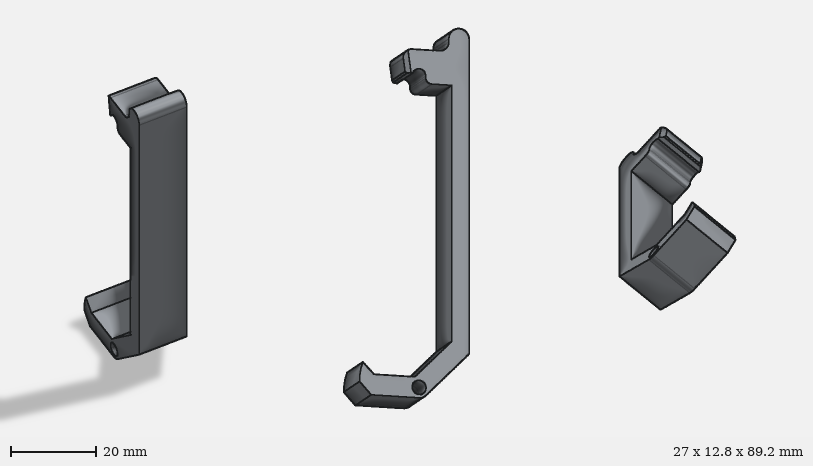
import cadquery as cq
import math

height = 89.25
reach = 26.95
width = 12.8

wall = 4.3
arm = 5.0
root_half = math.sqrt(0.5)

bulb_radius = 2.5
bulb_z = height - bulb_radius
neck_radius = 2.3

shelf_z = 83.6
clip_bottom_z = 75.5
nose_tip_x = -15.1
nose_bottom_z = 77.9
nose_bevel_x = 0.4
nose_bevel_z = 0.45
nose_tilt = math.radians(8)
nose_radius = 1.8
nose_chamfer = 1.1
groove_x = -12.3
groove_z = 77.4
groove_radius = 1.6
lip_radius = 1.4

pin_diameter = 3.4
pin_x = -12.3
pin_z = arm / 2
hook_root_x = -23.4
hook_tip = (-26.15, 7.8)
hook_bulge = (-26.8, 5.35)
hook_heel_z = 3.0
hook_base_x = -24.1

outer_bend_z = pin_z - pin_x - pin_z / root_half
inner_bend_z = outer_bend_z + arm / root_half - wall
inner_corner_x = arm - inner_bend_z - wall

nose_front_x = nose_tip_x - nose_bevel_x
nose_front_z = nose_bottom_z + nose_bevel_z
nose_top_x = nose_front_x - (shelf_z - nose_front_z) * math.tan(nose_tilt)
round_length = nose_radius * math.tan(math.pi / 4 + nose_tilt / 2)
round_start_x = nose_top_x + round_length
round_center_z = shelf_z - nose_radius
round_mid_angle = (math.pi / 2 + math.pi + nose_tilt) / 2
nose_direction = (-math.sin(nose_tilt), 0, math.cos(nose_tilt))


def on_circle(center_x, center_z, radius, angle):
    """Point at an angle (radians) measured from +X towards +Z."""
    return (center_x + radius * math.cos(angle), center_z + radius * math.sin(angle))


def side_profile():
    neck_x = -2 * bulb_radius
    groove_left_angle = math.pi - math.asin((nose_bottom_z - groove_z) / groove_radius)
    groove_right_x = groove_x + groove_radius
    lip_x = groove_right_x + lip_radius
    lip_z = clip_bottom_z + lip_radius
    return (
        cq.Workplane("XZ")
        .moveTo(0, outer_bend_z)
        .lineTo(0, bulb_z)
        .threePointArc((-bulb_radius, height), (neck_x, bulb_z))
        .lineTo(neck_x, shelf_z + neck_radius)
        .threePointArc(
            on_circle(neck_x - neck_radius, shelf_z + neck_radius, neck_radius, -math.pi / 4),
            (neck_x - neck_radius, shelf_z),
        )
        .lineTo(round_start_x, shelf_z)
        .threePointArc(
            on_circle(round_start_x, round_center_z, nose_radius, round_mid_angle),
            on_circle(round_start_x, round_center_z, nose_radius, math.pi + nose_tilt),
        )
        .lineTo(nose_front_x, nose_front_z)
        .lineTo(nose_tip_x, nose_bottom_z)
        .lineTo(*on_circle(groove_x, groove_z, groove_radius, groove_left_angle))
        .threePointArc((groove_x, groove_z + groove_radius), (groove_right_x, groove_z))
        .lineTo(groove_right_x, lip_z)
        .threePointArc(
            on_circle(lip_x, lip_z, lip_radius, -3 * math.pi / 4),
            (lip_x, clip_bottom_z),
        )
        .lineTo(-wall, clip_bottom_z)
        .lineTo(-wall, inner_bend_z)
        .lineTo(inner_corner_x, arm)
        .lineTo(hook_root_x, arm)
        .lineTo(*hook_tip)
        .threePointArc(hook_bulge, (-reach, hook_heel_z))
        .lineTo(hook_base_x, 0)
        .lineTo(pin_x, 0)
        .threePointArc(
            on_circle(pin_x, pin_z, pin_z, -3 * math.pi / 8),
            on_circle(pin_x, pin_z, pin_z, -math.pi / 4),
        )
        .close()
    )


def nose_corner_cutter(side):
    """Wedge along the slanted nose front that bevels one of its vertical edges."""
    edge_plane = cq.Plane(
        origin=(nose_front_x, side * width / 2, nose_front_z),
        xDir=(math.cos(nose_tilt), 0, math.sin(nose_tilt)),
        normal=nose_direction,
    )
    wedge = [
        (-nose_chamfer, -2 * side * nose_chamfer),
        (2 * nose_chamfer, side * nose_chamfer),
        (-nose_chamfer, side * nose_chamfer),
    ]
    return cq.Workplane(edge_plane).polyline(wedge).close().extrude(shelf_z - nose_front_z, both=True)


pin_hole = cq.Workplane("XZ").center(pin_x, pin_z).circle(pin_diameter / 2).extrude(width, both=True)

result = side_profile().extrude(width / 2, both=True).cut(pin_hole)
for side in (-1, 1):
    result = result.cut(nose_corner_cutter(side))